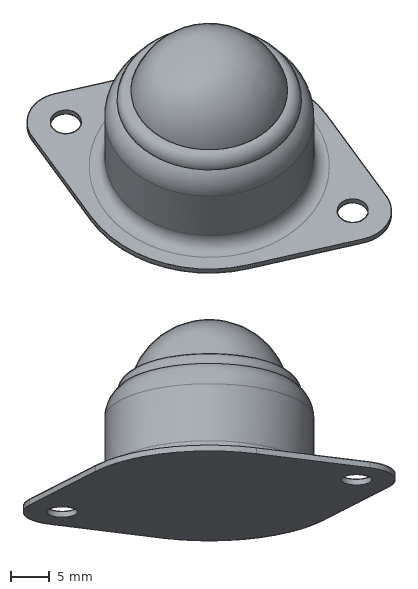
import cadquery as cq
import math

flange_length = 49.95
flange_width = 35.0
flange_thickness = 0.8
end_radius = 5.0
hole_diameter = 4.0
hole_offset = flange_length / 2 - end_radius

cup_radius = 13.5
foot_radius = 2.0
shoulder_base = 10.6
shoulder_radius = 4.3
lip_outer_radius = 11.9
lip_round = 1.9

ball_diameter = 21.0
overall_height = 23.5
ball_radius = ball_diameter / 2
ball_center_height = overall_height - ball_radius


def arc_point(center, radius, angle):
    """Point on a circle, with the angle in radians."""
    return (center[0] + radius * math.cos(angle), center[1] + radius * math.sin(angle))


def make_flange():
    """Rounded diamond: a middle arc and two end arcs joined by their tangent lines."""
    middle_radius = flange_width / 2
    tangent_angle = math.acos((middle_radius - end_radius) / hole_offset)
    end_x, end_y = arc_point((hole_offset, 0), end_radius, tangent_angle)
    middle_x, middle_y = arc_point((0, 0), middle_radius, tangent_angle)
    return (
        cq.Workplane("XY")
        .moveTo(end_x, -end_y)
        .threePointArc((flange_length / 2, 0), (end_x, end_y))
        .lineTo(middle_x, middle_y)
        .threePointArc((0, middle_radius), (-middle_x, middle_y))
        .lineTo(-end_x, end_y)
        .threePointArc((-flange_length / 2, 0), (-end_x, -end_y))
        .lineTo(-middle_x, -middle_y)
        .threePointArc((0, -middle_radius), (middle_x, -middle_y))
        .close()
        .extrude(flange_thickness)
        .faces(">Z")
        .workplane(origin=(0, 0, 0))
        .pushPoints([(-hole_offset, 0), (hole_offset, 0)])
        .hole(hole_diameter)
    )


def make_cup():
    """Revolved cup with a flared foot, a rounded shoulder and a rounded lip."""
    foot_center = (cup_radius + foot_radius, flange_thickness + foot_radius)
    shoulder_center = (cup_radius - shoulder_radius, shoulder_base)
    shoulder_angle = math.acos((lip_outer_radius - shoulder_center[0]) / shoulder_radius)
    shoulder_top = arc_point(shoulder_center, shoulder_radius, shoulder_angle)
    lip_center = (lip_outer_radius - lip_round, shoulder_top[1])
    lip_top = lip_center[1] + lip_round
    return (
        cq.Workplane("XZ")
        .lineTo(foot_center[0], 0)
        .lineTo(foot_center[0], flange_thickness)
        .threePointArc(arc_point(foot_center, foot_radius, 1.25 * math.pi), (cup_radius, foot_center[1]))
        .lineTo(cup_radius, shoulder_base)
        .threePointArc(arc_point(shoulder_center, shoulder_radius, shoulder_angle / 2), shoulder_top)
        .threePointArc(arc_point(lip_center, lip_round, math.pi / 4), (lip_center[0], lip_top))
        .lineTo(0, lip_top)
        .close()
        .revolve(360, (0, 0), (0, 1))
    )


def make_ball():
    return cq.Workplane("XY").sphere(ball_radius).translate((0, 0, ball_center_height))


def make_housing():
    """Flange and cup in one piece, with a spherical seat for the ball."""
    return make_flange().union(make_cup()).cut(make_ball())


housing = make_housing()
ball = make_ball()

result = cq.Compound.makeCompound([housing.val(), ball.val()])